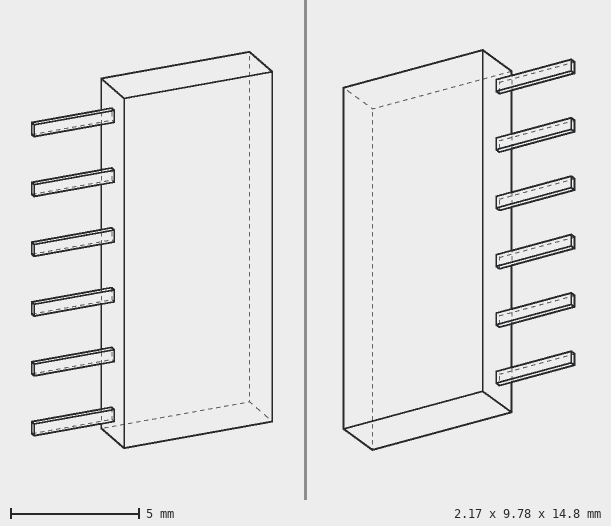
import cadquery as cq

body_width = 2.17
body_depth = 6.35
body_height = 14.83

pin_count = 6
pin_pitch = 2.54
pin_width = 0.25
pin_height = 0.5
pin_length = 3.43
row_offset_x = 0.05
row_offset_z = -0.05


def make_body():
    """Block centred on X and Z, with its pin face at Y = 0."""
    return cq.Workplane("XY").box(body_width, body_depth, body_height, centered=(True, False, True))


def make_pin(z):
    """Rectangular pin reaching from the pin face toward -Y at height z."""
    pin = cq.Workplane("XY").box(pin_width, pin_length, pin_height, centered=(True, False, True))
    return pin.translate((row_offset_x, -pin_length, z))


result = make_body()
lowest_pin_z = row_offset_z - pin_pitch * (pin_count - 1) / 2
for index in range(pin_count):
    result = result.union(make_pin(lowest_pin_z + index * pin_pitch))